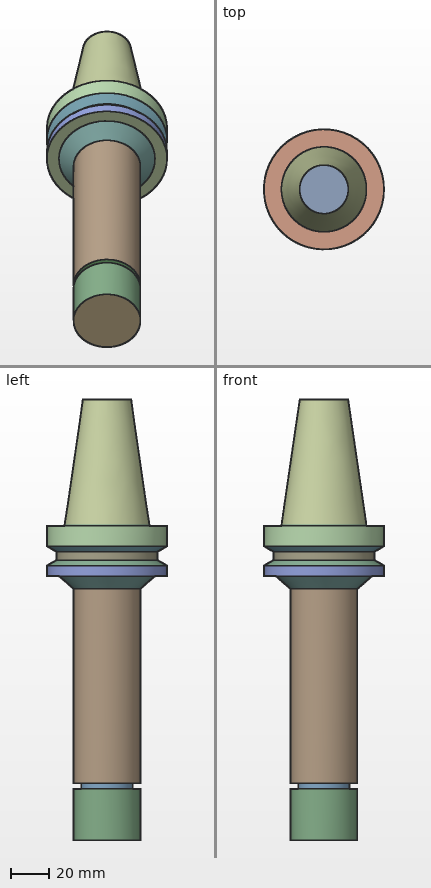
import cadquery as cq
import math

total_length = 230.5

taper_length = 65.5
gauge_diameter = 44.5
taper_ratio = 7 / 24
taper_tip_diameter = gauge_diameter - taper_ratio * taper_length
gauge_z = total_length - taper_length

collar_height = 0.7
flange_diameter = 63.0
flange_bottom_z = 138.0
flange_top_z = gauge_z - collar_height
groove_diameter = 53.0
groove_floor_width = 4.4
groove_center_z = 148.5
groove_wall_angle = 30.0
groove_depth = (flange_diameter - groove_diameter) / 2
groove_wall_height = groove_depth * math.tan(math.radians(groove_wall_angle))
groove_floor_half = groove_floor_width / 2
groove_mouth_half = groove_floor_half + groove_wall_height

shank_diameter = 35.0
shoulder_diameter = 50.2
shoulder_bottom_z = 131.3
neck_diameter = 27.0
neck_length = 2.8

nut_diameter = shank_diameter
nut_length = 27.0
shank_bottom_z = nut_length + neck_length


def make_holder():
    """Taper, flange, shank and neck, revolved as one solid about Z."""
    steps = [
        (0, nut_length),
        (neck_diameter, nut_length),
        (neck_diameter, shank_bottom_z),
        (shank_diameter, shank_bottom_z),
        (shank_diameter, shoulder_bottom_z),
        (shoulder_diameter, flange_bottom_z),
        (flange_diameter, flange_bottom_z),
        (flange_diameter, groove_center_z - groove_mouth_half),
        (groove_diameter, groove_center_z - groove_floor_half),
        (groove_diameter, groove_center_z + groove_floor_half),
        (flange_diameter, groove_center_z + groove_mouth_half),
        (flange_diameter, flange_top_z),
        (gauge_diameter, flange_top_z),
        (gauge_diameter, gauge_z),
        (taper_tip_diameter, total_length),
        (0, total_length),
    ]
    profile = [(diameter / 2, height) for diameter, height in steps]
    return cq.Workplane("XZ").polyline(profile).close().revolve(360, (0, 0, 0), (0, 1, 0))


def make_nut():
    """Plain cylindrical nut that meets the end face of the holder's neck."""
    return cq.Workplane("XY").circle(nut_diameter / 2).extrude(nut_length)


holder = make_holder()
nut = make_nut()
result = cq.Compound.makeCompound([holder.val(), nut.val()])